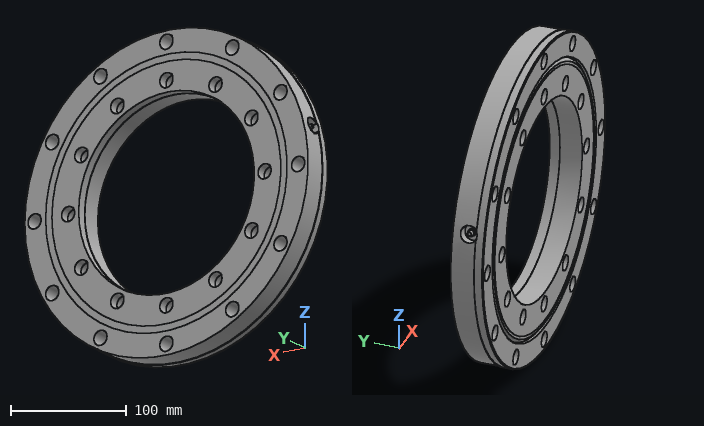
import cadquery as cq
ring_width = 30.0
front_y = -ring_width / 2
back_y = ring_width / 2

cover_radius = 148.5
housing_radius = 148.0
cover_chamfer = 1.0
outer_inside_radius = 126.0
cover_thickness = 8.3
outer_split_y = front_y + cover_thickness

inner_outside_radius = 119.5
front_bore_radius = 91.8
back_bore_radius = 91.5
inner_back_width = 9.5
inner_split_y = back_y - inner_back_width

liner_face_radius = 122.0
liner_slope_radius = 125.3
liner_slope_depth = 2.52
liner_groove_depth = 4.0
slope_end_y = front_y + liner_slope_depth
groove_floor_y = front_y + liner_groove_depth

bolt_count = 12
bolt_hole_radius = 6.8
outer_bolt_circle_radius = 137.5
inner_bolt_circle_radius = 102.5

nipple_angle = 180 / bolt_count
port_radius = 7.7
port_depth = 12.0
port_floor = cover_radius - port_depth
nipple_base_radius = 3.3
nipple_base_height = 3.0
nipple_neck_radius = 2.0
nipple_neck_height = 3.5
nipple_head_radius = 3.0
nipple_head_height = 4.0
nipple_tip_radius = 1.8

cut_overshoot = 3.0


def revolve_profile(points):
    """Turn a closed outline of (radius, y) points about the Y axis."""
    return cq.Workplane("XY").polyline(points).close().revolve(360, (0, 0), (0, 1))


def plain_ring(inside_radius, outside_radius, start_y, end_y):
    """A ring of rectangular section, from start_y to end_y."""
    return revolve_profile([
        (inside_radius, start_y),
        (outside_radius, start_y),
        (outside_radius, end_y),
        (inside_radius, end_y),
    ])


def bolt_holes(circle_radius):
    """A full circle of through holes along Y."""
    return (
        cq.Workplane("XZ", origin=(0, back_y, 0))
        .polarArray(circle_radius, 0, 360, bolt_count)
        .circle(bolt_hole_radius)
        .extrude(ring_width)
    )


def revolve_on_nipple_axis(points):
    """Turn an outline of (radius, distance from ring axis) points about the nipple's axis."""
    return (
        cq.Workplane("XZ")
        .polyline(points)
        .close()
        .revolve(360, (0, 0), (0, 1))
        .rotate((0, 0, 0), (0, 1, 0), nipple_angle - 90)
    )


def nipple_axis_cylinder(radius, start, end):
    """A cylinder on the nipple's axis, between two distances from the ring axis."""
    return revolve_on_nipple_axis([(0, start), (radius, start), (radius, end), (0, end)])


outer_bolt_holes = bolt_holes(outer_bolt_circle_radius)
inner_bolt_holes = bolt_holes(inner_bolt_circle_radius)
port = nipple_axis_cylinder(port_radius, port_floor, cover_radius + cut_overshoot)
shank_hole = nipple_axis_cylinder(nipple_base_radius, outer_inside_radius - cut_overshoot, port_floor)


def make_cover():
    """Front part of the outer ring, chamfered around its front edge and notched by the port."""
    ring = revolve_profile([
        (outer_inside_radius, front_y),
        (cover_radius - cover_chamfer, front_y),
        (cover_radius, front_y + cover_chamfer),
        (cover_radius, outer_split_y),
        (outer_inside_radius, outer_split_y),
    ])
    return ring.cut(outer_bolt_holes).cut(port)


def make_housing():
    ring = plain_ring(outer_inside_radius, housing_radius, outer_split_y, back_y)
    return ring.cut(outer_bolt_holes).cut(port).cut(shank_hole)


def make_inner_front():
    ring = plain_ring(front_bore_radius, inner_outside_radius, front_y, inner_split_y)
    return ring.cut(inner_bolt_holes)


def make_inner_back():
    ring = plain_ring(back_bore_radius, inner_outside_radius, inner_split_y, back_y)
    return ring.cut(inner_bolt_holes)


def make_liner():
    return revolve_profile([
        (inner_outside_radius, front_y),
        (liner_face_radius, front_y),
        (liner_slope_radius, slope_end_y),
        (liner_slope_radius, groove_floor_y),
        (outer_inside_radius, groove_floor_y),
        (outer_inside_radius, back_y),
        (inner_outside_radius, back_y),
    ])


def make_nipple():
    """Shank through the housing wall, then a base, a widening neck and a tapered head."""
    base_top = port_floor + nipple_base_height
    neck_top = base_top + nipple_neck_height
    head_top = neck_top + nipple_head_height
    return revolve_on_nipple_axis([
        (0, outer_inside_radius),
        (nipple_base_radius, outer_inside_radius),
        (nipple_base_radius, base_top),
        (nipple_neck_radius, base_top),
        (nipple_head_radius, neck_top),
        (nipple_tip_radius, head_top),
        (0, head_top),
    ])


cover = make_cover()
housing = make_housing()
inner_front = make_inner_front()
inner_back = make_inner_back()
liner = make_liner()
nipple = make_nipple()

result = cq.Compound.makeCompound([
    cover.val(),
    housing.val(),
    inner_front.val(),
    inner_back.val(),
    liner.val(),
    nipple.val(),
])